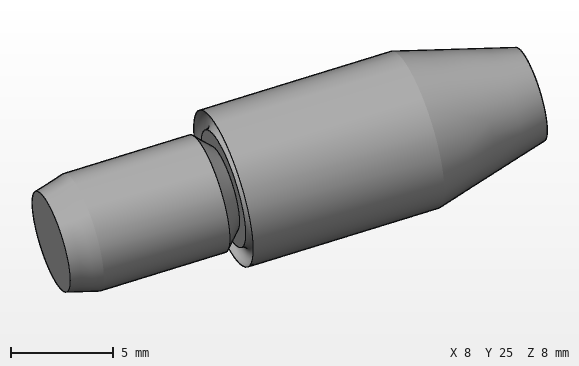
import cadquery as cq
import math

total_length = 25.0
body_radius = 4.0
body_length = 10.0
nose_length = 6.0
shank_radius = 3.0
tip_length = 1.6
taper_angle = math.radians(15.0)
neck_cone_length = 0.82

nose_start = total_length - nose_length
shoulder = nose_start - body_length
nose_radius = body_radius - nose_length * math.tan(taper_angle)
tip_radius = shank_radius - tip_length * math.tan(taper_angle)
neck_radius = shank_radius - neck_cone_length

groove_radius = (body_radius - shank_radius) / 2
groove_center = (body_radius + shank_radius) / 2

profile = (
    cq.Workplane("XY")
    .moveTo(0, 0)
    .lineTo(tip_radius, 0)
    .lineTo(shank_radius, tip_length)
    .lineTo(shank_radius, shoulder - neck_cone_length)
    .lineTo(neck_radius, shoulder)
    .lineTo(shank_radius, shoulder)
    .threePointArc((groove_center, shoulder + groove_radius), (body_radius, shoulder))
    .lineTo(body_radius, nose_start)
    .lineTo(nose_radius, total_length)
    .lineTo(0, total_length)
    .close()
)
pin = profile.revolve(360, (0, 0, 0), (0, 1, 0))

result = pin.translate((0, -total_length / 2, 0))